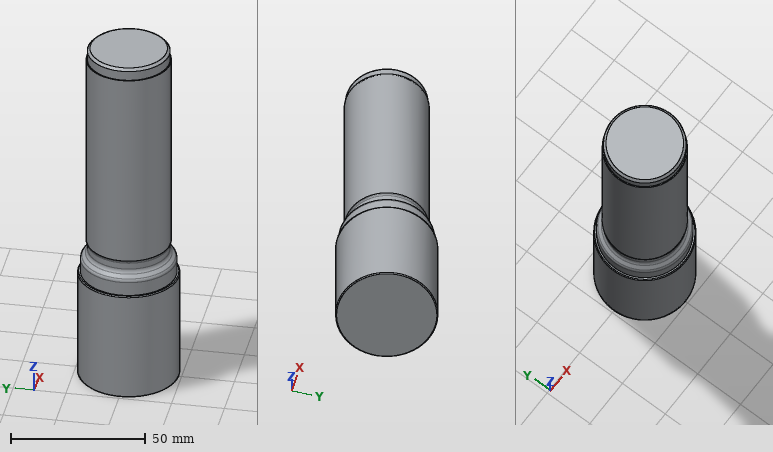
import cadquery as cq
import math

total_length = 139.7

cutter_radius = 38.1 / 2
cutter_length = 43.5
cutter_edge_chamfer = 0.4

shank_radius = 31.75 / 2
shank_bottom_z = 57.05
pilot_radius = 15.43
pilot_length = 4.76
pilot_chamfer = 1.0
collar_radius = 18.0
collar_top_z = 49.0
neck_radius = pilot_radius

shoulder_angle = math.radians(45)
shoulder_edge_blend = 1.8
shoulder_root_blend = 2.5

runout_angle = math.radians(30)
runout_blend = 1.5


def arc_rise(radius, angle):
    """Height of an arc that starts parallel to Z and turns by the angle."""
    return radius * math.sin(angle)


def arc_run(radius, angle):
    """Radial width of an arc that starts parallel to Z and turns by the angle."""
    return radius * (1 - math.cos(angle))


def make_cutter():
    """Plain cylindrical head with both rims chamfered."""
    return (
        cq.Workplane("XY")
        .circle(cutter_radius)
        .extrude(cutter_length)
        .edges()
        .chamfer(cutter_edge_chamfer)
    )


def make_shank():
    """Collar, blended neck, shank and chamfered pilot as one revolved profile."""
    cone_bottom_radius = collar_radius - arc_run(shoulder_edge_blend, shoulder_angle)
    cone_bottom_z = collar_top_z + arc_rise(shoulder_edge_blend, shoulder_angle)
    cone_top_radius = neck_radius + arc_run(shoulder_root_blend, shoulder_angle)
    cone_top_z = cone_bottom_z + (cone_bottom_radius - cone_top_radius) / math.tan(shoulder_angle)
    neck_bottom_z = cone_top_z + arc_rise(shoulder_root_blend, shoulder_angle)

    runout_radius = neck_radius + arc_run(runout_blend, runout_angle)
    runout_z = shank_bottom_z - (shank_radius - runout_radius) / math.tan(runout_angle)
    neck_top_z = runout_z - arc_rise(runout_blend, runout_angle)

    edge_mid = (
        collar_radius - arc_run(shoulder_edge_blend, shoulder_angle / 2),
        collar_top_z + arc_rise(shoulder_edge_blend, shoulder_angle / 2),
    )
    root_mid = (
        neck_radius + arc_run(shoulder_root_blend, shoulder_angle / 2),
        neck_bottom_z - arc_rise(shoulder_root_blend, shoulder_angle / 2),
    )
    runout_mid = (
        neck_radius + arc_run(runout_blend, runout_angle / 2),
        neck_top_z + arc_rise(runout_blend, runout_angle / 2),
    )

    pilot_bottom_z = total_length - pilot_length
    profile = (
        cq.Workplane("XZ")
        .moveTo(0, cutter_length)
        .lineTo(collar_radius, cutter_length)
        .lineTo(collar_radius, collar_top_z)
        .threePointArc(edge_mid, (cone_bottom_radius, cone_bottom_z))
        .lineTo(cone_top_radius, cone_top_z)
        .threePointArc(root_mid, (neck_radius, neck_bottom_z))
        .lineTo(neck_radius, neck_top_z)
        .threePointArc(runout_mid, (runout_radius, runout_z))
        .lineTo(shank_radius, shank_bottom_z)
        .lineTo(shank_radius, pilot_bottom_z)
        .lineTo(pilot_radius, pilot_bottom_z)
        .lineTo(pilot_radius, total_length - pilot_chamfer)
        .lineTo(pilot_radius - pilot_chamfer, total_length)
        .lineTo(0, total_length)
        .close()
    )
    return profile.revolve(360, (0, 0, 0), (0, 1, 0))


cutter = make_cutter()
shank = make_shank()
result = cq.Compound.makeCompound([cutter.val(), shank.val()])